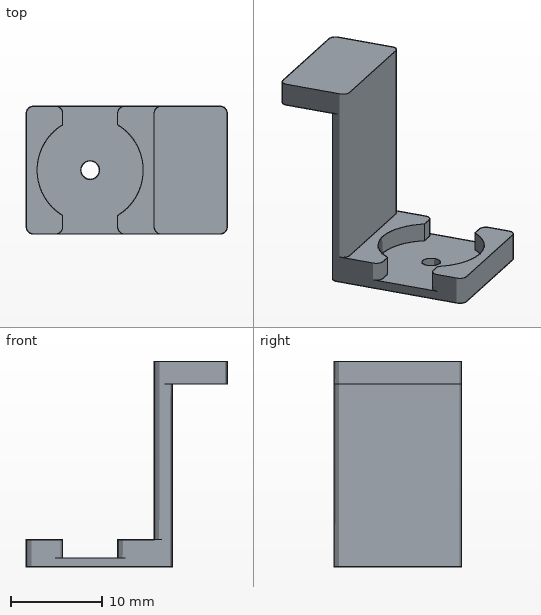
import cadquery as cq

total_length = 22.0
width = 14.0
total_height = 22.5
corner_radius = 0.8

base_length = 16.0
base_height = 3.0
wall_thickness = 2.0
shelf_thickness = 2.5
wall_start = base_length - wall_thickness

pocket_floor = 1.0
pocket_diameter = 11.6
slot_width = 6.0
hole_diameter = 2.0
pocket_center = wall_start / 2


def block(x_start, x_end, z_start, z_end):
    """Block of full width, centred on Y."""
    return cq.Workplane("XY").box(
        x_end - x_start, width, z_end - z_start, centered=(False, True, False)
    ).translate((x_start, 0, z_start))


def make_base():
    base = block(0, base_length, 0, base_height)
    base = base.edges("|Z").fillet(corner_radius)
    pocket_depth = base_height - pocket_floor
    floor_plane = cq.Workplane("XY", origin=(pocket_center, 0, pocket_floor))
    slot = floor_plane.rect(slot_width, width).extrude(pocket_depth)
    pocket = floor_plane.circle(pocket_diameter / 2).extrude(pocket_depth)

    slot_sides = cq.selectors.BoxSelector(
        (pocket_center - slot_width, -width, pocket_floor),
        (pocket_center + slot_width, width, base_height),
    )
    base = base.cut(slot).edges("|Z").edges(slot_sides).fillet(corner_radius)

    hole = cq.Workplane("XY").center(pocket_center, 0).circle(hole_diameter / 2).extrude(base_height)
    return base.cut(pocket).cut(hole)


def make_wall():
    wall = block(wall_start, base_length, 0, total_height)
    return wall.edges("|Z").fillet(corner_radius)


def make_shelf():
    shelf = block(wall_start, total_length, total_height - shelf_thickness, total_height)
    return shelf.edges("|Z").fillet(corner_radius)


result = make_base().union(make_wall()).union(make_shelf())